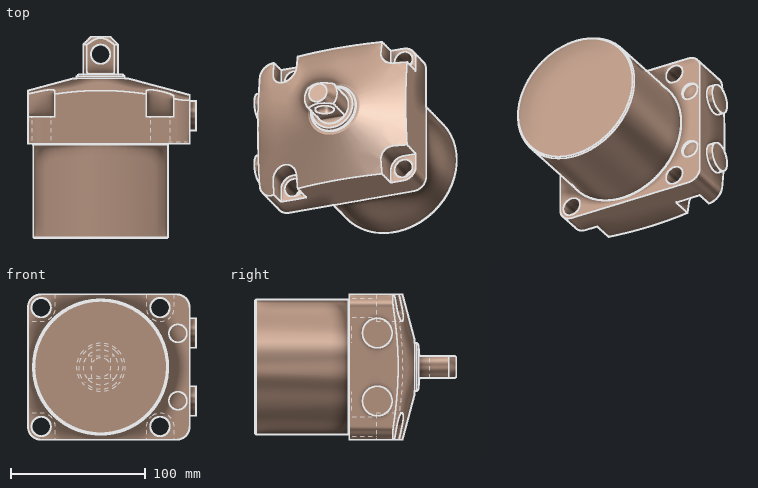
import cadquery as cq
import math


head_half = 54.0
head_right = 66.1
corner_radius = 10.0
cone_top_y = 48.6
cone_top_radius = 20.6
cone_angle = 15.0

hole_pitch = 88.0
hole_diameter = 14.2
seat_radius = 10.2
seat_floor_y = 20.0

barrel_radius = 50.1
root_radius = 50.2
root_height = 0.6
barrel_length = 70.0
barrel_chamfer = 1.0

collar_radius = 18.0
collar_height = 3.1
collar_chamfer = 1.6

port_pitch = 50.0
port_x = 57.3
port_diameter = 13.3
port_depth = 1.6
plug_y = 21.0
plug_pitch = 50.4
plug_diameter = 22.0
plug_height = 4.8

rod_radius = 13.0
rod_tip_y = 79.5
rod_step = 0.5
flat_thickness = 16.5
flat_fillet = 0.9
tip_chamfer = 5.8
eye_diameter = 14.0
eye_from_tip = 13.0

hole_offset = hole_pitch / 2
port_offset = port_pitch / 2
plug_offset = plug_pitch / 2
collar_top_y = cone_top_y + collar_height
barrel_end_y = -barrel_length


def cylinder_y(radius, y_start, y_end, x=0, z=0):
    """Round bar along Y between two positions."""
    return cq.Workplane(cq.Solid.makeCylinder(
        radius, y_end - y_start, cq.Vector(x, y_start, z), cq.Vector(0, 1, 0)))


def box_between(x_range, y_range, z_range):
    """Box given by its limits along each axis."""
    size = [abs(b - a) for a, b in (x_range, y_range, z_range)]
    low = [min(pair) for pair in (x_range, y_range, z_range)]
    return cq.Workplane("XY").box(*size, centered=False).translate(tuple(low))


def make_head_block():
    """Rounded block trimmed by a cone about the cylinder axis."""
    block = box_between((-head_half, head_right), (0, cone_top_y), (-head_half, head_half))
    block = block.edges("|Y").fillet(corner_radius)
    rim_radius = math.hypot(head_right, head_half)
    rim_y = cone_top_y - (rim_radius - cone_top_radius) * math.tan(math.radians(cone_angle))
    envelope = (
        cq.Workplane("XY")
        .moveTo(0, 0)
        .lineTo(rim_radius, 0)
        .lineTo(rim_radius, rim_y)
        .lineTo(cone_top_radius, cone_top_y)
        .lineTo(0, cone_top_y)
        .close()
        .revolve(360, (0, 0, 0), (0, 1, 0))
    )
    return block.intersect(envelope)


def make_screw_seat(x_side, z_side):
    """Recess over a mounting hole: open to +-Z, and on the -X side open to the corner as well."""
    x = x_side * hole_offset
    z = z_side * hole_offset
    y_range = (seat_floor_y, cone_top_y)
    z_open = z_side * head_half
    seat = cylinder_y(seat_radius, *y_range, x, z)
    seat = seat.union(box_between((x - seat_radius, x + seat_radius), y_range, (z, z_open)))
    if x_side < 0:
        seat = seat.union(box_between((-head_half, x), y_range, (z - z_side * seat_radius, z_open)))
    return seat


def make_housing():
    """Head, barrel, root boss and collar in one piece, with mounting holes, ports and rod bore."""
    barrel = cylinder_y(barrel_radius, barrel_end_y, 0).faces("<Y").chamfer(barrel_chamfer)
    root = cylinder_y(root_radius, -root_height, 0)
    collar = cylinder_y(collar_radius, cone_top_y, collar_top_y).faces(">Y").chamfer(collar_chamfer)
    body = make_head_block().union(barrel).union(root).union(collar)
    for z_side in (-1, 1):
        for x_side in (-1, 1):
            body = body.cut(make_screw_seat(x_side, z_side))
            body = body.cut(cylinder_y(
                hole_diameter / 2, 0, cone_top_y, x_side * hole_offset, z_side * hole_offset))
        body = body.cut(cylinder_y(port_diameter / 2, 0, port_depth, port_x, z_side * port_offset))
    return body.cut(cylinder_y(rod_radius, cone_top_y, collar_top_y))


def make_rod():
    """Round rod seated in the collar, flattened on both Z sides, with a cross hole."""
    ledge_y = collar_top_y + rod_step
    rod = cylinder_y(rod_radius, cone_top_y, rod_tip_y).faces(">Y").chamfer(tip_chamfer)
    for z_side in (-1, 1):
        flat = box_between(
            (-rod_radius, rod_radius),
            (ledge_y, rod_tip_y),
            (z_side * flat_thickness / 2, z_side * rod_radius),
        )
        root_edge = cq.selectors.NearestToPointSelector((0, ledge_y, z_side * flat_thickness / 2))
        rod = rod.cut(flat.edges(root_edge).fillet(flat_fillet))
    eye = (
        cq.Workplane("XY")
        .center(0, rod_tip_y - eye_from_tip)
        .circle(eye_diameter / 2)
        .extrude(rod_radius, both=True)
    )
    return rod.cut(eye)


def make_plug(z):
    """Port plug standing on the +X face of the head."""
    return (
        cq.Workplane("YZ", origin=(head_right, plug_y, z))
        .circle(plug_diameter / 2)
        .extrude(plug_height)
    )


housing = make_housing()
rod = make_rod()
plugs = [make_plug(side * plug_offset) for side in (-1, 1)]

result = cq.Compound.makeCompound([housing.val(), rod.val(), *[plug.val() for plug in plugs]])